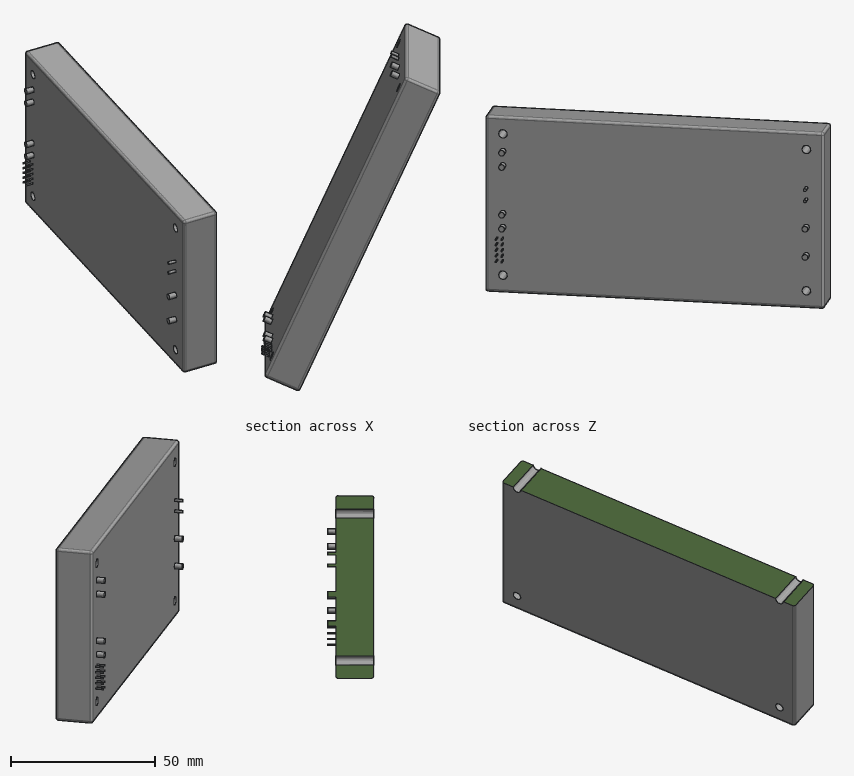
import cadquery as cq

case_length = 119.1
case_height = 63.2
case_depth = 13.2
edge_radius = 1.0

hole_diameter = 3.0
hole_x = 53.4
hole_z = 25.4

pin_length = 2.7
pin_root = 1.2

power_pin_diameter = 2.0
left_power_pin_heights = [19.2, 14.0, -3.1, -8.1]
right_power_pin_heights = [-2.5, -12.6]

sense_pin_diameter = 1.0
sense_pin_heights = [11.5, 7.5]

signal_pin_diameter = 0.5
signal_pitch = 2.0
signal_columns = 2
signal_rows = 5
signal_center_z = -16.0


def make_case():
    """Box with every outer edge rounded."""
    box = cq.Workplane("XY").box(case_length, case_depth, case_height)
    return box.edges().fillet(edge_radius).translate((0, case_depth / 2, 0))


def cylinders(points, diameter, y_start, y_end):
    """Cylinders along Y at the given (x, z) points."""
    plane = cq.Workplane("XZ", origin=(0, y_end, 0))
    return plane.pushPoints(points).circle(diameter / 2).extrude(y_end - y_start)


def pins(points, diameter):
    """Round pins rooted in the case."""
    return cylinders(points, diameter, -pin_length, pin_root)


hole_points = [(x, z) for x in (-hole_x, hole_x) for z in (-hole_z, hole_z)]

power_points = [(-hole_x, z) for z in left_power_pin_heights]
power_points += [(hole_x, z) for z in right_power_pin_heights]

sense_points = [(hole_x, z) for z in sense_pin_heights]

signal_top_z = signal_center_z + signal_pitch * (signal_rows - 1) / 2
signal_points = [
    (-hole_x - column * signal_pitch, signal_top_z - row * signal_pitch)
    for column in range(signal_columns)
    for row in range(signal_rows)
]

result = (
    make_case()
    .cut(cylinders(hole_points, hole_diameter, 0, case_depth))
    .union(pins(power_points, power_pin_diameter))
    .union(pins(sense_points, sense_pin_diameter))
    .union(pins(signal_points, signal_pin_diameter))
)